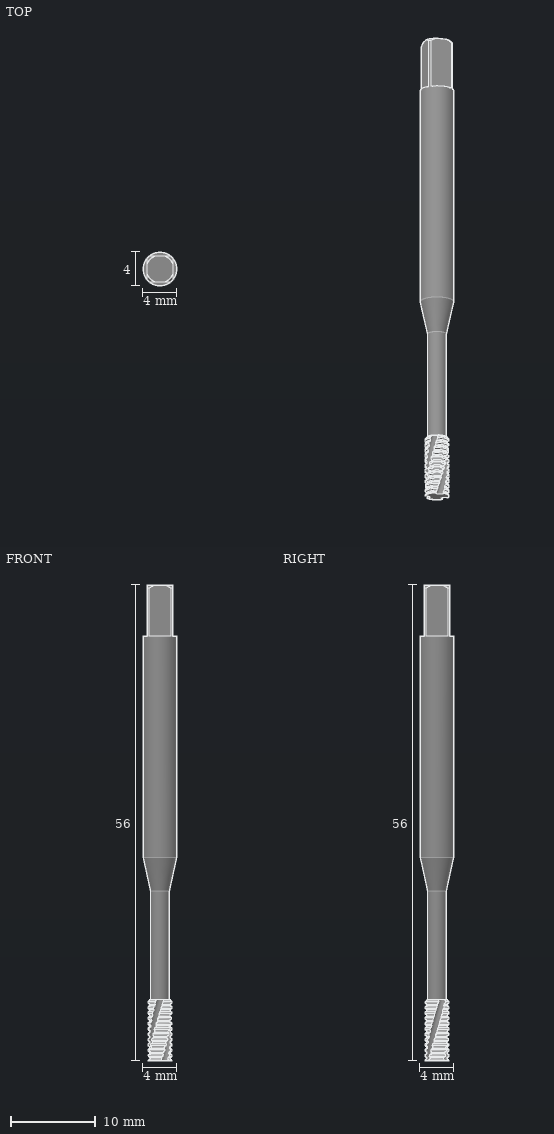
import cadquery as cq
import math

TOTAL_LENGTH = 56.0
HEAD_LENGTH = 7.2
NECK_END = 20.0
TAPER_LENGTH = 4.0
SQUARE_LENGTH = 6.0

SHANK_DIAMETER = 4.0
NECK_DIAMETER = 2.25
SQUARE_WIDTH = 3.0
SQUARE_TOP_DIAMETER = 3.25

CREST_DIAMETER = 2.85
ROOT_DIAMETER = 2.45
TOOTH_COUNT = 12
PITCH = HEAD_LENGTH / (TOOTH_COUNT - 0.5)
CREST_WIDTH = 0.15
ROOT_WIDTH = 0.155

FLUTE_COUNT = 3
FLUTE_RADIUS = 0.45
FLUTE_OFFSET = 1.35
FLUTE_TWIST = 95.0
FIRST_FLUTE_ANGLE = -65.0


def make_shank():
    """Neck, taper and cylindrical shank, ending in a driving square."""
    shank_radius = SHANK_DIAMETER / 2
    neck_radius = NECK_DIAMETER / 2
    top_radius = SQUARE_TOP_DIAMETER / 2
    corner_chamfer = shank_radius - top_radius
    body = (
        cq.Workplane("XZ")
        .moveTo(0, HEAD_LENGTH)
        .lineTo(neck_radius, HEAD_LENGTH)
        .lineTo(neck_radius, NECK_END)
        .lineTo(shank_radius, NECK_END + TAPER_LENGTH)
        .lineTo(shank_radius, TOTAL_LENGTH - corner_chamfer)
        .lineTo(top_radius, TOTAL_LENGTH)
        .lineTo(0, TOTAL_LENGTH)
        .close()
        .revolve(360, (0, 0, 0), (0, 1, 0))
    )
    square_waste = (
        cq.Workplane("XY", origin=(0, 0, TOTAL_LENGTH - SQUARE_LENGTH))
        .circle(SHANK_DIAMETER)
        .rect(SQUARE_WIDTH, SQUARE_WIDTH)
        .extrude(SQUARE_LENGTH)
    )
    return body.cut(square_waste)


def make_threaded_blank():
    """Round blank with ring-shaped teeth, one every pitch from the tip face upward."""
    crest_radius = CREST_DIAMETER / 2
    root_radius = ROOT_DIAMETER / 2
    crest_half = CREST_WIDTH / 2
    foot_half = (PITCH - ROOT_WIDTH) / 2
    profile = (
        cq.Workplane("XZ")
        .lineTo(crest_radius, 0)
        .lineTo(crest_radius, crest_half)
        .lineTo(root_radius, foot_half)
    )
    for tooth in range(1, TOOTH_COUNT):
        center = tooth * PITCH
        profile = (
            profile.lineTo(root_radius, center - foot_half)
            .lineTo(crest_radius, center - crest_half)
            .lineTo(crest_radius, center + crest_half)
            .lineTo(root_radius, center + foot_half)
        )
    return (
        profile.lineTo(root_radius, HEAD_LENGTH)
        .lineTo(0, HEAD_LENGTH)
        .close()
        .revolve(360, (0, 0, 0), (0, 1, 0))
    )


def make_flute(angle):
    """Round-bottomed helical cutter starting at the given angle about Z."""
    center_x = FLUTE_OFFSET * math.cos(math.radians(angle))
    center_y = FLUTE_OFFSET * math.sin(math.radians(angle))
    return (
        cq.Workplane("XY")
        .moveTo(center_x, center_y)
        .circle(FLUTE_RADIUS)
        .twistExtrude(HEAD_LENGTH, FLUTE_TWIST)
    )


def make_cutting_head():
    """Threaded blank with evenly spaced helical flutes."""
    head = make_threaded_blank()
    for index in range(FLUTE_COUNT):
        angle = FIRST_FLUTE_ANGLE + index * 360 / FLUTE_COUNT
        head = head.cut(make_flute(angle))
    return head


shank = make_shank()
cutting_head = make_cutting_head()
result = cq.Compound.makeCompound([shank.val(), cutting_head.val()])